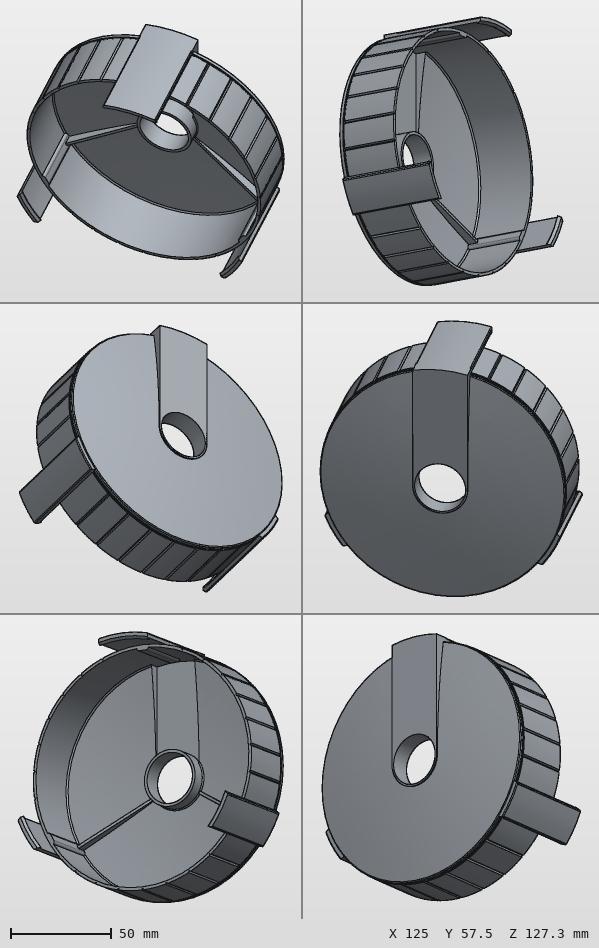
import cadquery as cq
import math


drum_radius = 62.5
wall_inner_radius = 61.0
floor_radius = 60.2
drum_start_depth = 8.4
drum_front_depth = 38.0
disc_radius = 62.4
disc_edge_chamfer = 0.5
neck_radius = 61.9
neck_start_depth = 7.5
dome_apex_depth = 0.4
dome_rim_depth = 5.3
dome_thickness = 2.0

bore_radius = 13.0
hub_radius = 14.5
hub_foot_chamfer = 0.6
hub_front_depth = 10.6

groove_pitch_angle = 12.8
grooves_each_side = 3
groove_width = 1.4
groove_depth = 0.8

arm_angles = (0, 120, 240)
arm_outer_radius = 64.8
arm_front_depth = 57.5
arm_edge_chamfer = 0.5
arm_root_radius = neck_radius - 0.3
wide_arm_half_width = 14.0
narrow_arm_half_width = 8.8
narrow_arm_root_half_width = 10.2
narrow_arm_back_depth = 5.7
channel_wall = 1.7
channel_floor = 1.5

hook_start_depth = 55.4
hook_peak_depth = 55.9
hook_peak_radius = 61.8
hook_tip_radius = 62.9

rib_width = 1.5
rib_hub_depth = 2.9
rib_rim_depth = 12.6
pad_half_width = 3.6
pad_height = 1.3
pad_rounding = 1.7


def revolved(profile):
    """Turn a closed (radius, -depth) profile around the Y axis."""
    return profile.close().revolve(360, (0, 0, 0), (0, 1, 0))


def axial_prism(sketch, back_depth, front_depth):
    """Extrude a closed XZ sketch between two depths."""
    return sketch.extrude(front_depth - back_depth).translate((0, -back_depth, 0))


def about_axis(shape, angle):
    """Rotate clockwise about the part's axis, starting from +Z."""
    return shape.rotate((0, 0, 0), (0, 1, 0), angle)


def cylinder(radius, back_depth, front_depth):
    return axial_prism(cq.Workplane("XZ").circle(radius), back_depth, front_depth)


dome_rim_radius = disc_radius - disc_edge_chamfer
dome_rise = dome_rim_depth - dome_apex_depth
dome_radius = (dome_rim_radius**2 + dome_rise**2) / (2 * dome_rise)


def dome_depth(radius):
    """Depth of the outer dome surface at a distance from the axis."""
    return dome_apex_depth + dome_radius - math.sqrt(dome_radius**2 - radius**2)


def floor_depth(radius):
    return dome_depth(radius) + dome_thickness


def make_blank():
    """Solid outer form of the dome, disc, neck and drum."""
    mid_radius = dome_rim_radius / 2
    profile = (
        cq.Workplane("XY")
        .moveTo(0, -dome_depth(0))
        .threePointArc((mid_radius, -dome_depth(mid_radius)), (dome_rim_radius, -dome_rim_depth))
        .lineTo(disc_radius, -dome_rim_depth - disc_edge_chamfer)
        .lineTo(disc_radius, -neck_start_depth)
        .lineTo(neck_radius, -neck_start_depth)
        .lineTo(neck_radius, -drum_start_depth)
        .lineTo(drum_radius, -drum_start_depth)
        .lineTo(drum_radius, -drum_front_depth)
        .lineTo(0, -drum_front_depth)
    )
    return revolved(profile)


def make_cavity():
    """Space inside the drum, bounded by the domed floor and the wall."""
    mid_radius = floor_radius / 2
    corner = wall_inner_radius - floor_radius
    profile = (
        cq.Workplane("XY")
        .moveTo(0, -floor_depth(0))
        .threePointArc((mid_radius, -floor_depth(mid_radius)), (floor_radius, -floor_depth(floor_radius)))
        .lineTo(wall_inner_radius, -floor_depth(floor_radius) - corner)
        .lineTo(wall_inner_radius, -drum_front_depth)
        .lineTo(0, -drum_front_depth)
    )
    return revolved(profile)


def cut_panel_grooves(body):
    groove = axial_prism(
        cq.Workplane("XZ").polyline(
            [
                (-groove_width, drum_radius + groove_depth),
                (0, drum_radius - groove_depth),
                (groove_width, drum_radius + groove_depth),
            ]
        ).close(),
        drum_start_depth,
        drum_front_depth,
    )
    for arm_angle in arm_angles:
        sector_middle = arm_angle + 60
        for step in range(-grooves_each_side, grooves_each_side + 1):
            body = body.cut(about_axis(groove, sector_middle + step * groove_pitch_angle))
    return body


def make_arm(back_depth, tip_half_width, root_half_width):
    """Hooked arm at +Z, as a slice of a ring."""
    ring = revolved(
        cq.Workplane("XY").polyline(
            [
                (arm_root_radius, -back_depth),
                (arm_outer_radius, -back_depth),
                (arm_outer_radius, -arm_front_depth),
                (hook_tip_radius, -arm_front_depth),
                (hook_peak_radius, -hook_peak_depth),
                (drum_radius, -hook_start_depth),
                (drum_radius, -drum_front_depth),
                (arm_root_radius, -drum_front_depth),
            ]
        )
    )
    slice_block = axial_prism(
        cq.Workplane("XZ").polyline(
            [
                (-root_half_width, wall_inner_radius - pad_height),
                (-tip_half_width, arm_outer_radius + pad_height),
                (tip_half_width, arm_outer_radius + pad_height),
                (root_half_width, wall_inner_radius - pad_height),
            ]
        ).close(),
        0,
        arm_front_depth,
    )
    return ring.intersect(slice_block)


def make_wide_arm():
    arm = make_arm(0, wide_arm_half_width, wide_arm_half_width)
    return arm.faces(">Z").edges("|Y").chamfer(arm_edge_chamfer)


def make_narrow_arm():
    arm = make_arm(narrow_arm_back_depth, narrow_arm_half_width, narrow_arm_root_half_width)
    return arm.faces(">Z").edges("|Y or >Y").chamfer(arm_edge_chamfer)


def make_channel():
    """Solid block of the box channel, flush with the back."""
    block = axial_prism(
        cq.Workplane("XZ").rect(2 * wide_arm_half_width, arm_outer_radius, centered=(True, False)),
        0,
        drum_start_depth,
    )
    return block.intersect(cylinder(arm_outer_radius, 0, drum_start_depth)).cut(make_cavity())


def make_channel_pocket():
    half_width = wide_arm_half_width - channel_wall
    block = axial_prism(
        cq.Workplane("XZ").rect(2 * half_width, arm_outer_radius, centered=(True, False)),
        channel_floor,
        drum_front_depth,
    )
    return block.intersect(cylinder(wall_inner_radius, 0, drum_front_depth))


def make_hub_foot():
    """Bevelled ring around the hub on the domed floor."""
    foot_depth = floor_depth(hub_radius)
    profile = cq.Workplane("XY").polyline(
        [
            (0, -dome_depth(0)),
            (hub_radius + hub_foot_chamfer, -dome_depth(hub_radius + hub_foot_chamfer)),
            (hub_radius + hub_foot_chamfer, -foot_depth),
            (hub_radius, -foot_depth - hub_foot_chamfer),
            (0, -foot_depth - hub_foot_chamfer),
        ]
    )
    return revolved(profile)


def make_rib():
    """Radial rib at +Z whose front edge slopes forward towards the wall."""
    rib_end_radius = wall_inner_radius + (drum_radius - wall_inner_radius) / 2
    return (
        cq.Workplane("YZ")
        .polyline(
            [
                (-dome_depth(bore_radius) - dome_thickness / 2, bore_radius),
                (-rib_hub_depth, bore_radius),
                (-rib_rim_depth, rib_end_radius),
                (-dome_depth(rib_end_radius) - dome_thickness / 2, rib_end_radius),
            ]
        )
        .close()
        .extrude(rib_width / 2, both=True)
    )


def make_pad():
    """Rounded pad at +Z along the inside of the drum wall."""
    outer = (wall_inner_radius + drum_radius) / 2
    height = outer - wall_inner_radius + pad_height
    sketch = cq.Workplane("XZ").center(0, outer - height / 2).rect(2 * pad_half_width, height)
    pad = axial_prism(sketch, dome_rim_depth + dome_thickness / 2, drum_front_depth)
    return pad.edges("|Y and <Z").fillet(pad_rounding)


body = cut_panel_grooves(make_blank().cut(make_cavity()))

channel_end = cylinder(wide_arm_half_width, 0, channel_floor + dome_thickness)
body = body.union(make_channel()).union(channel_end).union(make_hub_foot())
body = body.cut(make_channel_pocket())
body = body.union(cylinder(hub_radius, channel_floor / 2, hub_front_depth))

for arm_angle in arm_angles:
    body = body.union(about_axis(make_pad(), arm_angle))
    if arm_angle == 0:
        body = body.union(make_wide_arm())
    else:
        body = body.union(about_axis(make_narrow_arm(), arm_angle))
        body = body.union(about_axis(make_rib(), arm_angle))

result = body.cut(cylinder(bore_radius, 0, hub_front_depth))